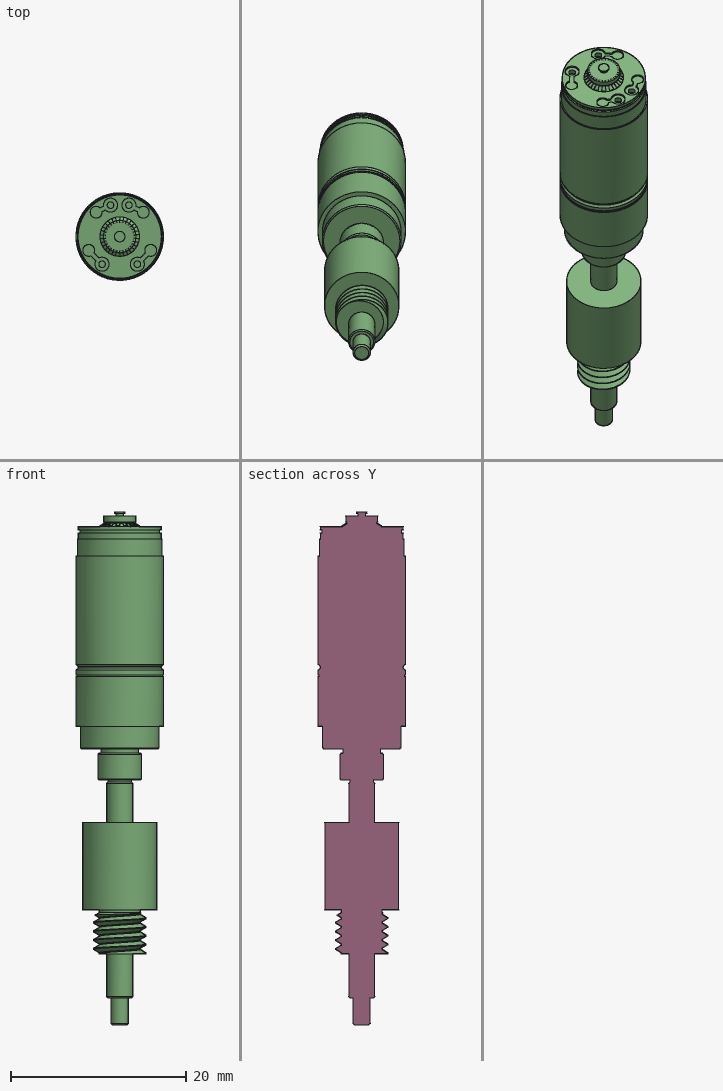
import math

import cadquery as cq

TOTAL_HEIGHT = 58.55

TIP_RADIUS = 2.0 / 2
TIP_LENGTH = 3.1
TIP_CHAMFER = 0.2
SPINDLE_RADIUS = 3.0 / 2
SPINDLE_CHAMFER = 0.15

THREAD_BOTTOM = 8.15
THREAD_STUB_LENGTH = 5.0
THREAD_RELIEF = 0.32
THREAD_BEVEL_HEIGHT = 0.37
THREAD_PITCH = 1.0
THREAD_CORE_RADIUS = 4.7 / 2
THREAD_CREST_RADIUS = 6.0 / 2
THREAD_ROOT_WIDTH = 0.88
THREAD_CREST_WIDTH = 0.1
THREAD_OVERLAP = 0.05
THREAD_CREST_AT_FRONT = 8.96

NUT_RADIUS = 8.5 / 2
NUT_LENGTH = 10.0
nut_bottom = THREAD_BOTTOM + THREAD_STUB_LENGTH
nut_top = nut_bottom + NUT_LENGTH

SHAFT_TOP = 27.6
LOWER_NECK_RADIUS = 2.7 / 2
COLLAR_RADIUS = 5.0 / 2
COLLAR_BOTTOM = 27.95
COLLAR_TOP = 31.05
COLLAR_CHAMFER = 0.15
UPPER_NECK_RADIUS = 4.3 / 2

FLANGE_RADIUS = 9.0 / 2
FLANGE_BOTTOM = 31.5
FLANGE_CHAMFER = 0.15
HOUSING_RADIUS = 10.0 / 2
HOUSING_BOTTOM = 34.1
SEAM_RADIUS = 9.5 / 2
SEAM_Z = 40.83
SEAM_WIDTH = 0.2
SEAM_OPENING = 0.64
SHOULDER_RADIUS = 9.7 / 2
SHOULDER_BOTTOM = 53.5
SHOULDER_TOP = 55.45
JOINT_DEPTH = 0.1
JOINT_BOTTOM = 39.77
JOINT_TOP = 39.95

CAP_RADIUS = 9.5 / 2
CAP_TOP = 56.88
CAP_GROOVE_RADIUS = 9.1 / 2
CAP_GROOVE_BOTTOM = 56.15
CAP_GROOVE_TOP = 56.5

SEAT_RADIUS = 4.5 / 2
SEAT_RIM = 0.1
SEAT_WAIST_RADIUS = 3.4 / 2
SEAT_WAIST_Z = 57.32
DISC_RADIUS = 3.7 / 2
DISC_BOTTOM = 57.42
DISC_TOP = 58.11
SHAFT_END_RADIUS = 1.2 / 2
SHAFT_END_NECK_RADIUS = 0.9 / 2
SHAFT_END_LIP = 0.15

NOTCH_COUNT = 15
NOTCH_WIDTH = 0.4
SEAT_NOTCH_DEPTH = 0.1
DISC_NOTCH_DEPTH = 0.05
DISC_NOTCH_INNER_RADIUS = 1.62

PIN_CENTRE_RADIUS = 3.74
PIN_RING_RADIUS = 1.6 / 2
PIN_HOLE_RADIUS = 0.75 / 2
PIN_HOLE_DEPTH = 0.8
ROUND_CENTRE_RADIUS = 3.87
ROUND_RADIUS = 1.35 / 2
SLOT_WIDTH = 0.5
POCKET_DEPTH = 0.2
POCKET_ANGLES = ((73.7, 46.0), (-57.4, -24.0))


def turned_body():
    """Everything that is round about Z, revolved from one half outline."""
    seam_half = SEAM_WIDTH / 2
    opening_half = SEAM_OPENING / 2
    outline = [
        (0, 0),
        (TIP_RADIUS - TIP_CHAMFER, 0),
        (TIP_RADIUS, TIP_CHAMFER),
        (TIP_RADIUS, TIP_LENGTH),
        (SPINDLE_RADIUS - SPINDLE_CHAMFER, TIP_LENGTH),
        (SPINDLE_RADIUS, TIP_LENGTH + SPINDLE_CHAMFER),
        (SPINDLE_RADIUS, THREAD_BOTTOM),
        (THREAD_CORE_RADIUS, THREAD_BOTTOM),
        (THREAD_CORE_RADIUS, nut_bottom),
        (NUT_RADIUS, nut_bottom),
        (NUT_RADIUS, nut_top),
        (SPINDLE_RADIUS, nut_top),
        (SPINDLE_RADIUS, SHAFT_TOP),
        (LOWER_NECK_RADIUS, SHAFT_TOP + SPINDLE_RADIUS - LOWER_NECK_RADIUS),
        (LOWER_NECK_RADIUS, COLLAR_BOTTOM),
        (COLLAR_RADIUS - COLLAR_CHAMFER, COLLAR_BOTTOM),
        (COLLAR_RADIUS, COLLAR_BOTTOM + COLLAR_CHAMFER),
        (COLLAR_RADIUS, COLLAR_TOP - COLLAR_CHAMFER),
        (COLLAR_RADIUS - COLLAR_CHAMFER, COLLAR_TOP),
        (UPPER_NECK_RADIUS, COLLAR_TOP),
        (UPPER_NECK_RADIUS, FLANGE_BOTTOM),
        (FLANGE_RADIUS - FLANGE_CHAMFER, FLANGE_BOTTOM),
        (FLANGE_RADIUS, FLANGE_BOTTOM + FLANGE_CHAMFER),
        (FLANGE_RADIUS, HOUSING_BOTTOM),
        (HOUSING_RADIUS, HOUSING_BOTTOM),
        (HOUSING_RADIUS, JOINT_BOTTOM),
        (HOUSING_RADIUS - JOINT_DEPTH, JOINT_BOTTOM),
        (HOUSING_RADIUS - JOINT_DEPTH, JOINT_TOP),
        (HOUSING_RADIUS, JOINT_TOP),
        (HOUSING_RADIUS, SEAM_Z - opening_half),
        (SEAM_RADIUS, SEAM_Z - seam_half),
        (SEAM_RADIUS, SEAM_Z + seam_half),
        (HOUSING_RADIUS, SEAM_Z + opening_half),
        (HOUSING_RADIUS, SHOULDER_BOTTOM),
        (SHOULDER_RADIUS, SHOULDER_BOTTOM),
        (SHOULDER_RADIUS, SHOULDER_TOP),
        (CAP_RADIUS, SHOULDER_TOP),
        (CAP_RADIUS, CAP_GROOVE_BOTTOM),
        (CAP_GROOVE_RADIUS, CAP_GROOVE_BOTTOM),
        (CAP_GROOVE_RADIUS, CAP_GROOVE_TOP),
        (CAP_RADIUS, CAP_GROOVE_TOP),
        (CAP_RADIUS, CAP_TOP),
        (SEAT_RADIUS, CAP_TOP),
        (SEAT_RADIUS, CAP_TOP + SEAT_RIM),
        (SEAT_WAIST_RADIUS, SEAT_WAIST_Z),
        (DISC_RADIUS, DISC_BOTTOM),
        (DISC_RADIUS, DISC_TOP),
        (SHAFT_END_NECK_RADIUS, DISC_TOP),
        (SHAFT_END_NECK_RADIUS, TOTAL_HEIGHT - SHAFT_END_LIP),
        (SHAFT_END_RADIUS, TOTAL_HEIGHT - SHAFT_END_LIP),
        (SHAFT_END_RADIUS, TOTAL_HEIGHT),
        (0, TOTAL_HEIGHT),
    ]
    return cq.Workplane("XZ").polyline(outline).close().revolve(360, (0, 0), (0, 1))


def thread_ridge():
    """Right-handed helical ridge, flat at its lower end and bevelled to the core at its upper end."""
    thread_top = nut_bottom - THREAD_RELIEF
    crest_at_right = THREAD_CREST_AT_FRONT + THREAD_PITCH / 4
    turns_below = math.ceil((crest_at_right - THREAD_BOTTOM) / THREAD_PITCH) + 1
    helix_start = crest_at_right - turns_below * THREAD_PITCH
    helix_length = math.ceil(thread_top - helix_start + THREAD_PITCH)
    inner_radius = THREAD_CORE_RADIUS - THREAD_OVERLAP

    thread_height = THREAD_CREST_RADIUS - THREAD_CORE_RADIUS
    flank_slope = (THREAD_ROOT_WIDTH - THREAD_CREST_WIDTH) / 2 / thread_height
    inner_half = THREAD_ROOT_WIDTH / 2 + flank_slope * THREAD_OVERLAP
    crest_half = THREAD_CREST_WIDTH / 2
    section = [
        (inner_radius, helix_start - inner_half),
        (THREAD_CREST_RADIUS, helix_start - crest_half),
        (THREAD_CREST_RADIUS, helix_start + crest_half),
        (inner_radius, helix_start + inner_half),
    ]
    helix = cq.Wire.makeHelix(THREAD_PITCH, helix_length, inner_radius, cq.Vector(0, 0, helix_start))
    ridge = cq.Workplane("XZ").polyline(section).close().sweep(cq.Workplane(helix), isFrenet=True)
    band = (
        cq.Workplane("XZ")
        .moveTo(0, THREAD_BOTTOM)
        .lineTo(NUT_RADIUS, THREAD_BOTTOM)
        .lineTo(NUT_RADIUS, thread_top - THREAD_BEVEL_HEIGHT)
        .lineTo(THREAD_CREST_RADIUS, thread_top - THREAD_BEVEL_HEIGHT)
        .lineTo(THREAD_CORE_RADIUS, thread_top)
        .lineTo(0, thread_top)
        .close()
        .revolve(360, (0, 0), (0, 1))
    )
    return ridge.intersect(band)


def polar(radius, angle):
    """X and Y of a point given by its radius and its angle in degrees about Z."""
    return (radius * math.cos(math.radians(angle)), radius * math.sin(math.radians(angle)))


def notch_ring(section):
    """Evenly spaced radial notch cutters from one (radius, height) section."""
    notch = cq.Workplane("XZ").polyline(section).close().extrude(NOTCH_WIDTH / 2, both=True).val()
    step = 360 / NOTCH_COUNT
    notches = [notch.rotate((0, 0, 0), (0, 0, 1), (i + 0.5) * step) for i in range(NOTCH_COUNT)]
    return cq.Workplane(cq.Compound.makeCompound(notches))


def seat_notches():
    """Notches running down the seat cone and out through its rim."""
    rim_floor = CAP_TOP + SEAT_RIM - SEAT_NOTCH_DEPTH
    outer_radius = SEAT_RADIUS + SEAT_NOTCH_DEPTH
    return notch_ring(
        [
            (SEAT_WAIST_RADIUS, SEAT_WAIST_Z),
            (SEAT_WAIST_RADIUS, SEAT_WAIST_Z - SEAT_NOTCH_DEPTH),
            (SEAT_RADIUS, rim_floor),
            (outer_radius, rim_floor),
            (outer_radius, SEAT_WAIST_Z),
        ]
    )


def disc_notches():
    """Notches that start at nothing on the disc face and deepen towards its rim."""
    outer_radius = DISC_RADIUS + DISC_NOTCH_DEPTH
    return notch_ring(
        [
            (DISC_NOTCH_INNER_RADIUS, DISC_TOP),
            (outer_radius, DISC_TOP - DISC_NOTCH_DEPTH),
            (outer_radius, DISC_TOP),
        ]
    )


def drill(centre, radius, depth):
    """Round cutter sunk from the cap face."""
    return cq.Workplane("XY").workplane(offset=CAP_TOP - depth).center(*centre).circle(radius).extrude(depth)


def keyhole_pocket(pin_angle, round_angle):
    """Cutter for one keyhole pocket with its deeper pin hole."""
    pin = polar(PIN_CENTRE_RADIUS, pin_angle)
    plain = polar(ROUND_CENTRE_RADIUS, round_angle)
    run_x = plain[0] - pin[0]
    run_y = plain[1] - pin[1]
    slot = (
        cq.Workplane("XY")
        .workplane(offset=CAP_TOP - POCKET_DEPTH)
        .center((pin[0] + plain[0]) / 2, (pin[1] + plain[1]) / 2)
        .transformed(rotate=(0, 0, math.degrees(math.atan2(run_y, run_x))))
        .rect(math.hypot(run_x, run_y), SLOT_WIDTH)
        .extrude(POCKET_DEPTH)
    )
    pocket = drill(pin, PIN_RING_RADIUS, POCKET_DEPTH).union(drill(plain, ROUND_RADIUS, POCKET_DEPTH))
    return pocket.union(slot).union(drill(pin, PIN_HOLE_RADIUS, PIN_HOLE_DEPTH))


result = turned_body().cut(seat_notches()).cut(disc_notches())
result = result.union(thread_ridge())
for pin_angle, round_angle in POCKET_ANGLES:
    pocket = keyhole_pocket(pin_angle, round_angle)
    result = result.cut(pocket).cut(pocket.mirror("YZ"))